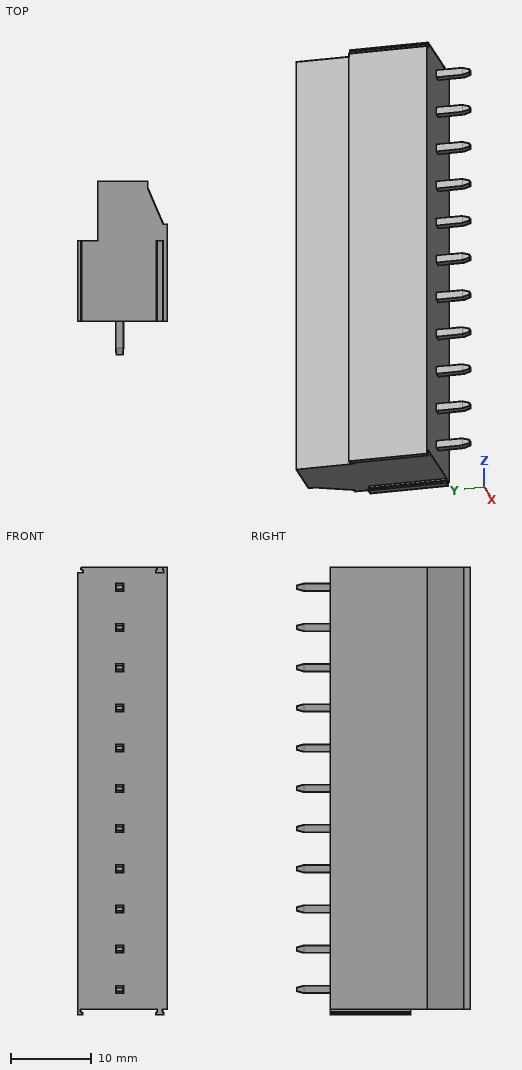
import cadquery as cq

width = 11.2
total_depth = 21.6
total_height = 55.65

pin_count = 11
rail_height = 0.65
housing_height = total_height - rail_height
pitch = housing_height / pin_count

housing_depth = 17.4
base_depth = 10.0
back_left = 2.5
back_right = 8.75
slope_end_x = 10.7
slope_start_y = 16.6
slope_end_y = 12.1

rail_throat_height = 0.25
rail_flare_height = 0.45
groove_mouth_flare = 0.1
edge_rail_throat = 0.4
edge_rail_width = 0.65
center_rail_x = 10.25
center_rail_throat = 0.65
center_rail_width = 1.0

pin_length = total_depth - housing_depth
pin_x = 5.25
pin_width = 1.0
pin_thickness = 0.95
tip_length = 0.9
tip_width = 0.85
tip_thickness = 0.45


def make_housing():
    """Stepped and sloped outline extruded along the row of poles."""
    outline = [
        (0, 0),
        (width, 0),
        (width, slope_end_y),
        (slope_end_x, slope_end_y),
        (back_right, slope_start_y),
        (back_right, housing_depth),
        (back_left, housing_depth),
        (back_left, base_depth),
        (0, base_depth),
    ]
    return (
        cq.Workplane("XY", origin=(0, 0, rail_height))
        .polyline(outline)
        .close()
        .extrude(housing_height)
    )


def make_rails(top_z, root_flare=0):
    """Edge rail and center rail hanging down from top_z."""
    throat_z = top_z - rail_throat_height
    flare_z = top_z - rail_flare_height
    foot_z = top_z - rail_height
    edge_outline = [
        (0, top_z),
        (edge_rail_throat + root_flare, top_z),
        (edge_rail_throat, throat_z),
        (edge_rail_width, flare_z),
        (edge_rail_width, foot_z),
        (0, foot_z),
    ]
    right_half = [
        (center_rail_x + center_rail_throat / 2 + root_flare, top_z),
        (center_rail_x + center_rail_throat / 2, throat_z),
        (center_rail_x + center_rail_width / 2, flare_z),
        (center_rail_x + center_rail_width / 2, foot_z),
    ]
    left_half = [(2 * center_rail_x - x, z) for x, z in reversed(right_half)]
    edge_rail = cq.Workplane("XZ").polyline(edge_outline).close().extrude(-base_depth)
    center_rail = cq.Workplane("XZ").polyline(right_half + left_half).close().extrude(-base_depth)
    return edge_rail.add(center_rail).combine()


def make_pin(z):
    """Rectangular pin pointing toward -Y with a tapered tip."""
    shank = (
        cq.Workplane("XZ", origin=(pin_x, 0, z))
        .rect(pin_width, pin_thickness)
        .extrude(pin_length - tip_length)
    )
    return (
        shank.faces("<Y")
        .workplane()
        .rect(pin_width, pin_thickness)
        .workplane(offset=tip_length)
        .rect(tip_width, tip_thickness)
        .loft(combine=True)
    )


result = make_housing().cut(make_rails(total_height, groove_mouth_flare)).union(make_rails(rail_height))
for index in range(pin_count):
    result = result.union(make_pin(rail_height + pitch * (index + 0.5)))